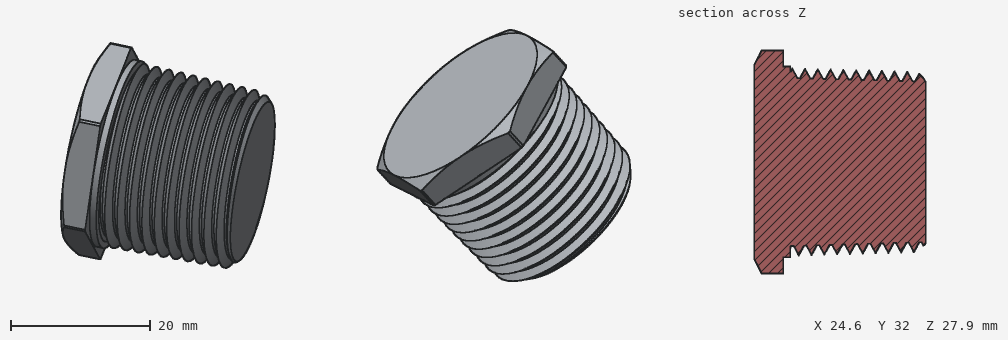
import cadquery as cq
import math

head_length = 4.2
across_flats = 27.9
across_corners = 32.0
head_chamfer_length = 1.05

collar_length = 1.0
collar_diameter = 27.4

total_length = 24.6
thread_start = head_length + collar_length
turn_count = 10
length_of_turns = 18.35
pitch = length_of_turns / turn_count
root_radius_at_collar = 12.05
taper_run = 36.0
tooth_height = 1.38
tooth_base = 1.5
tooth_embed = 0.13
first_crest = 5.47
end_radius = 11.68
end_chamfer = 1.92


def root_radius(x):
    """Radius of the tapered root surface at position x."""
    return root_radius_at_collar - (x - thread_start) / taper_run


def revolve_profile(points):
    """Revolve a closed (x, radius) outline about the X axis."""
    return cq.Workplane("XY").polyline(points).close().revolve(360, (0, 0, 0), (1, 0, 0))


def make_head():
    sharp_corners = across_flats / math.cos(math.radians(30))
    hexagon = cq.Workplane("YZ").polygon(6, sharp_corners).extrude(head_length)
    envelope = revolve_profile([
        (0, 0),
        (0, across_flats / 2),
        (head_chamfer_length, across_corners / 2),
        (head_length, across_corners / 2),
        (head_length, 0),
    ])
    return hexagon.intersect(envelope)


def make_collar():
    return (
        cq.Workplane("YZ", origin=(head_length, 0, 0))
        .circle(collar_diameter / 2)
        .extrude(collar_length)
    )


def make_core(start, end):
    """Tapered body inside the thread roots."""
    return revolve_profile([
        (start, 0),
        (start, root_radius(start)),
        (end, root_radius(end)),
        (end, 0),
    ])


def make_tooth(start, end):
    """Right-handed V tooth along a conical helix that starts on the +Y side."""
    start_radius = root_radius(start)
    taper_angle = math.degrees(math.atan(1 / taper_run))
    helix = cq.Wire.makeHelix(pitch, end - start, start_radius, angle=-taper_angle)
    inner_radius = start_radius - tooth_embed
    half_width = tooth_base / 2 * (1 + tooth_embed / tooth_height)
    tooth = (
        cq.Workplane("XZ")
        .polyline([
            (inner_radius, -half_width),
            (start_radius + tooth_height, 0),
            (inner_radius, half_width),
        ])
        .close()
        .sweep(cq.Workplane(helix), isFrenet=True)
    )
    axis_plane = cq.Plane(origin=(start, 0, 0), xDir=(0, 1, 0), normal=(1, 0, 0))
    return cq.Workplane(tooth.val().moved(axis_plane.location))


def make_threaded_body():
    """Core and tooth, made too long at both ends and trimmed to length with the end chamfer."""
    tooth_start = first_crest - pitch
    tooth_end = total_length + pitch
    core = make_core(tooth_start - pitch, tooth_end + pitch)
    chamfer_radius = end_radius + end_chamfer
    envelope = revolve_profile([
        (head_length, 0),
        (head_length, chamfer_radius),
        (total_length - end_chamfer, chamfer_radius),
        (total_length, end_radius),
        (total_length, 0),
    ])
    return core.union(make_tooth(tooth_start, tooth_end)).intersect(envelope)


result = make_head().union(make_collar()).union(make_threaded_body()).solids()